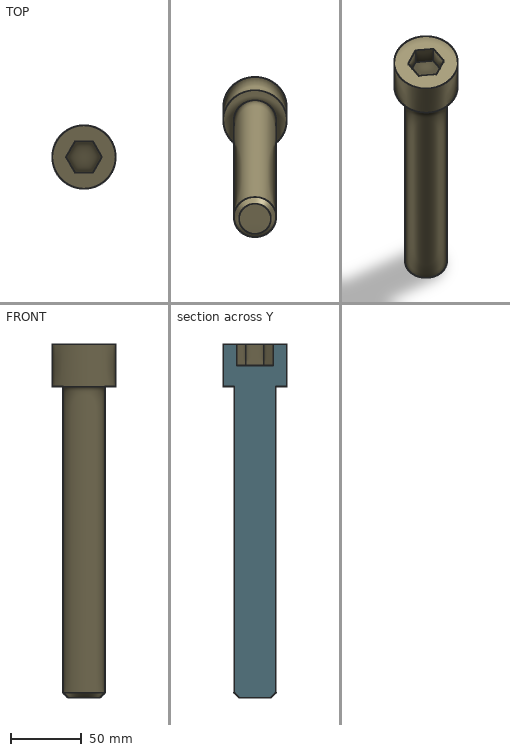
import cadquery as cq
import math

shank_diameter = 30.0
head_diameter = 1.5 * shank_diameter
head_height = shank_diameter
total_length = 250.0
shank_length = total_length - head_height
tip_chamfer = 3.8

socket_across_flats = 22.0
socket_across_corners = socket_across_flats / math.cos(math.pi / 6)
socket_depth = head_height / 2

shank = (
    cq.Workplane("XY")
    .circle(shank_diameter / 2)
    .extrude(shank_length)
    .faces("<Z")
    .chamfer(tip_chamfer)
)

head = (
    cq.Workplane("XY")
    .workplane(offset=shank_length)
    .circle(head_diameter / 2)
    .extrude(head_height)
)

socket = (
    cq.Workplane("XY")
    .workplane(offset=total_length - socket_depth)
    .polygon(6, socket_across_corners)
    .extrude(socket_depth)
)

result = shank.union(head).cut(socket)